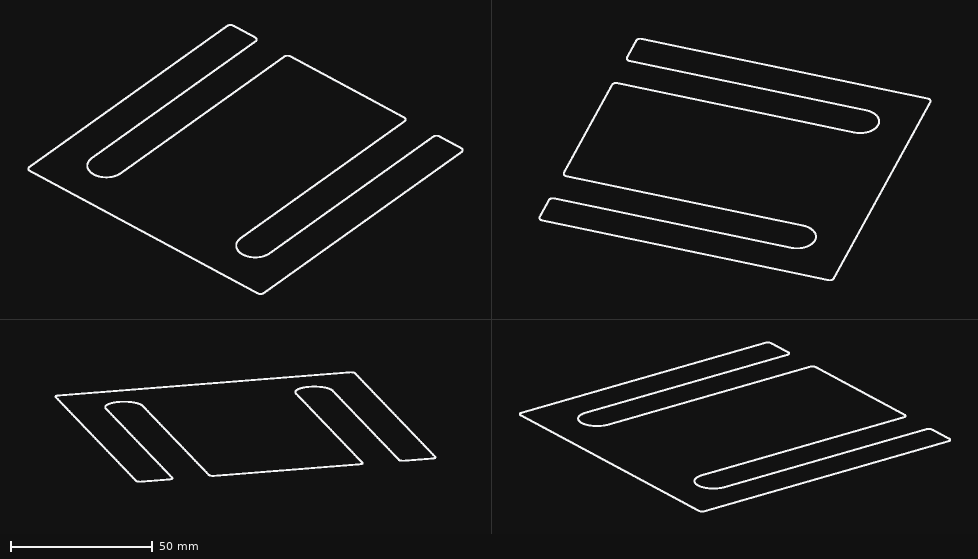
import cadquery as cq

side = 110.0
thickness = 0.1
corner_radius = 1.5

slot_width = 13.4
slot_spacing = 69.8
slot_floor = 13.3

slot_radius = slot_width / 2
slot_centre_y = -side / 2 + slot_floor + slot_radius
slot_straight = side / 2 - slot_centre_y


def slot_cutter(centre_x):
    """Slot with a round closed end, running out through the +Y edge."""
    straight = (
        cq.Workplane("XY")
        .center(centre_x, slot_centre_y + slot_straight / 2)
        .rect(slot_width, slot_straight)
        .extrude(thickness)
    )
    round_end = (
        cq.Workplane("XY")
        .center(centre_x, slot_centre_y)
        .circle(slot_radius)
        .extrude(thickness)
    )
    return straight.union(round_end)


plate = cq.Workplane("XY").rect(side, side).extrude(thickness)
for centre_x in (-slot_spacing / 2, slot_spacing / 2):
    plate = plate.cut(slot_cutter(centre_x))

mouth_edge = cq.selectors.BoxSelector(
    (-side, side / 2 - corner_radius, -thickness),
    (side, side / 2 + corner_radius, 2 * thickness),
)
plate = plate.edges("|Z").edges(mouth_edge).fillet(corner_radius)
result = plate.edges("|Z and <Y").fillet(corner_radius)